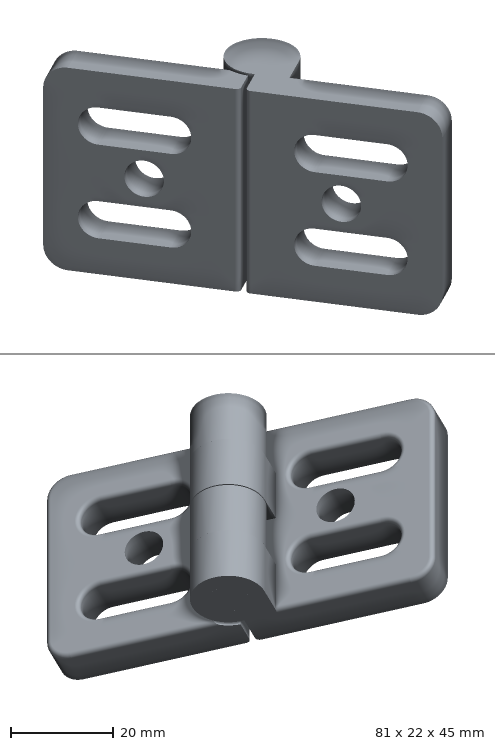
import cadquery as cq

WIDTH = 81.0
HEIGHT = 45.0
DEPTH = 22.0
PLATE_THICKNESS = 8.0
CORNER_RADIUS = 5.0
EDGE_ROUND = 1.0
LEAF_GAP = 1.1

BARREL_RADIUS = 7.5
PIN_RADIUS = 4.0
CLEARANCE_RADIUS = 8.5
KNUCKLE_COUNT = 4
MIDDLE_GAP = 0.25

HOLE_DIAMETER = 8.0
HOLE_OFFSET = 20.0
SLOT_LENGTH = 23.0
SLOT_WIDTH = 8.3
SLOT_OFFSET = 21.95
SLOT_SPACING = 20.8

LEAF_EDGE = LEAF_GAP / 2
LEAF_WIDTH = WIDTH / 2 - LEAF_EDGE
LEAF_CENTRE = LEAF_EDGE + LEAF_WIDTH / 2
AXIS_Y = DEPTH - BARREL_RADIUS
KNUCKLE_PITCH = HEIGHT / KNUCKLE_COUNT
HINGE_BOTTOM = -HEIGHT / 2
BELOW_MIDDLE = KNUCKLE_COUNT // 2 - 1
ABOVE_MIDDLE = KNUCKLE_COUNT // 2


def along_z(bottom):
    """Workplane for profiles in X and Y that are extruded upward from a height."""
    return cq.Workplane("XY", origin=(0, 0, bottom))


def on_front():
    """Workplane on the plate fronts, with extrusion toward +Y."""
    return cq.Workplane("XZ").workplane(invert=True)


def add_slots(body):
    """Two slots through the right plate."""
    slots = (
        on_front()
        .center(SLOT_OFFSET, 0)
        .pushPoints([(0, -SLOT_SPACING / 2), (0, SLOT_SPACING / 2)])
        .slot2D(SLOT_LENGTH, SLOT_WIDTH)
        .extrude(PLATE_THICKNESS)
    )
    return body.cut(slots)


def plate():
    """Slotted plate of the right leaf, rounded at its outer corners and edges."""
    body = on_front().center(LEAF_CENTRE, 0).rect(LEAF_WIDTH, HEIGHT).extrude(PLATE_THICKNESS)
    body = body.edges("|Y and >X").fillet(CORNER_RADIUS)
    body = add_slots(body)
    body = body.faces(">Y").edges("not(<X)").fillet(EDGE_ROUND)
    return body.edges("|Z and <X and <Y").fillet(EDGE_ROUND)


def add_hole(body):
    """Round hole between the two slots, through the right plate."""
    hole = on_front().center(HOLE_OFFSET, 0).circle(HOLE_DIAMETER / 2).extrude(PLATE_THICKNESS)
    return body.cut(hole)


def knuckle(bottom, length):
    """Round barrel with a straight web that runs down into the right plate."""
    barrel = along_z(bottom).center(0, AXIS_Y).circle(BARREL_RADIUS).extrude(length)
    web_foot = AXIS_Y - BARREL_RADIUS
    web_width = BARREL_RADIUS - LEAF_EDGE
    web = (
        along_z(bottom)
        .moveTo(LEAF_EDGE, web_foot)
        .rect(web_width, BARREL_RADIUS, centered=False)
        .extrude(length)
    )
    return barrel.union(web)


def leaf(own_knuckles):
    """Right leaf with knuckles at the given positions, counted from the bottom."""
    body = add_hole(plate())
    for index in range(KNUCKLE_COUNT):
        bottom = HINGE_BOTTOM + index * KNUCKLE_PITCH
        top = bottom + KNUCKLE_PITCH
        if index in own_knuckles:
            if index == ABOVE_MIDDLE:
                bottom += MIDDLE_GAP / 2
            if index == BELOW_MIDDLE:
                top -= MIDDLE_GAP / 2
            body = body.union(knuckle(bottom, top - bottom))
        else:
            relief = along_z(bottom).center(0, AXIS_Y).circle(CLEARANCE_RADIUS).extrude(KNUCKLE_PITCH)
            body = body.cut(relief)
    return body.cut(pin())


def pin():
    """Straight pin that fills the bore, flush with both ends of the hinge."""
    return along_z(HINGE_BOTTOM).center(0, AXIS_Y).circle(PIN_RADIUS).extrude(HEIGHT)


right_leaf = leaf([1, 3])
left_leaf = leaf([0, 2]).mirror("YZ")
hinge_pin = pin()

result = cq.Compound.makeCompound([left_leaf.val(), right_leaf.val(), hinge_pin.val()])